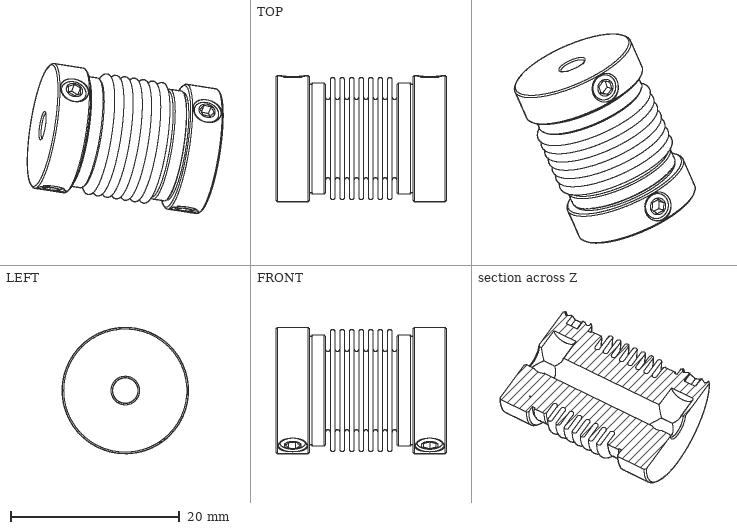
import cadquery as cq
import math

length = 20.24
hub_radius = 7.5
hub_length = 4.0
edge_chamfer = 0.2

neck_radius = 6.45
neck_length = 0.3
collar_radius = 6.6
collar_length = 1.6
collar_chamfer = 0.2

fin_count = 7
fin_thickness = 0.58
fin_radius = 7.25
valley_radius = 4.65
collar_end = hub_length + neck_length + collar_length
bellows_length = length - 2 * collar_end
valley_width = (bellows_length - fin_count * fin_thickness) / (fin_count + 1)
fin_pitch = fin_thickness + valley_width

bore_radius = 1.5
bore_chamfer = 0.2

first_screw_angle = 2
screw_spacing = 120
screw_angles = (first_screw_angle, first_screw_angle - screw_spacing)
screw_hole_radius = 1.5
screw_hole_chamfer = 0.22
screw_hole_rim_height = math.sqrt(hub_radius**2 - (screw_hole_radius + screw_hole_chamfer) ** 2)
screw_top = 7.36
screw_length = 3.0
screw_top_radius = 1.0
screw_chamfer_depth = 0.3
socket_width = 1.5
socket_depth = 1.3
near_socket_turn = -6
far_socket_turn = 30
overshoot = 1.0


def make_hub_and_collar():
    """Hub disc, neck and collar at the X = 0 end."""
    hub = cq.Workplane("YZ").circle(hub_radius).extrude(hub_length).edges().chamfer(edge_chamfer)
    neck = cq.Workplane("YZ", origin=(hub_length, 0, 0)).circle(neck_radius).extrude(neck_length)
    collar = (
        cq.Workplane("YZ", origin=(hub_length + neck_length, 0, 0))
        .circle(collar_radius)
        .extrude(collar_length)
        .faces(">X")
        .edges()
        .chamfer(collar_chamfer)
    )
    return hub.union(neck).union(collar)


def make_bellows():
    """Row of round-tipped fins joined by round-bottomed valleys."""
    valley_round = valley_width / 2
    tip_round = fin_thickness / 2
    valley_top = valley_radius + valley_round
    tip_base = fin_radius - tip_round

    def add_valley(profile, start):
        bottom = (start + valley_round, valley_radius)
        end = (start + valley_width, valley_top)
        return profile.threePointArc(bottom, end)

    profile = cq.Workplane("XY").moveTo(collar_end, 0).lineTo(collar_end, valley_top)
    for index in range(fin_count):
        valley_start = collar_end + index * fin_pitch
        fin_start = valley_start + valley_width
        fin_end = fin_start + fin_thickness
        profile = add_valley(profile, valley_start)
        profile = profile.lineTo(fin_start, tip_base)
        profile = profile.threePointArc((fin_start + tip_round, fin_radius), (fin_end, tip_base))
        profile = profile.lineTo(fin_end, valley_top)
    profile = add_valley(profile, collar_end + fin_count * fin_pitch)
    profile = profile.lineTo(length - collar_end, 0).close()
    return profile.revolve(360, (0, 0, 0), (1, 0, 0))


def make_bore():
    """Through bore with a chamfered mouth at each end."""
    mouth_radius = bore_radius + bore_chamfer
    return (
        cq.Workplane("XY")
        .moveTo(0, 0)
        .lineTo(0, mouth_radius)
        .lineTo(bore_chamfer, bore_radius)
        .lineTo(length - bore_chamfer, bore_radius)
        .lineTo(length, mouth_radius)
        .lineTo(length, 0)
        .close()
        .revolve(360, (0, 0, 0), (1, 0, 0))
    )


def make_screw_hole(x):
    """Radial hole along +Y from the part axis, with a 45 degree countersunk rim."""
    rim_radius = screw_hole_radius + screw_hole_chamfer
    return (
        cq.Workplane("XY")
        .moveTo(x, 0)
        .lineTo(x + screw_hole_radius, 0)
        .lineTo(x + screw_hole_radius, screw_hole_rim_height - screw_hole_chamfer)
        .lineTo(x + rim_radius, screw_hole_rim_height)
        .lineTo(x + rim_radius, hub_radius + overshoot)
        .lineTo(x, hub_radius + overshoot)
        .close()
        .revolve(360, (x, 0, 0), (x, 1, 0))
    )


def make_screw(x, socket_turn):
    """Headless set screw along +Y with a chamfered top and a hexagon socket."""
    screw = (
        cq.Workplane("XY")
        .moveTo(x, screw_top - screw_length)
        .lineTo(x + screw_hole_radius, screw_top - screw_length)
        .lineTo(x + screw_hole_radius, screw_top - screw_chamfer_depth)
        .lineTo(x + screw_top_radius, screw_top)
        .lineTo(x, screw_top)
        .close()
        .revolve(360, (x, 0, 0), (x, 1, 0))
    )
    socket = (
        cq.Workplane("XZ", origin=(x, screw_top, 0))
        .polygon(6, socket_width / math.cos(math.pi / 6))
        .extrude(socket_depth)
        .rotate((x, 0, 0), (x, 1, 0), socket_turn)
    )
    return screw.cut(socket)


def turn(shape, angle):
    return shape.rotate((0, 0, 0), (1, 0, 0), angle)


end_piece = make_hub_and_collar()
far_end_piece = end_piece.mirror("YZ").translate((length, 0, 0))
body = end_piece.union(make_bellows()).union(far_end_piece).cut(make_bore())

screw_rows = (
    (hub_length / 2, near_socket_turn),
    (length - hub_length / 2, far_socket_turn),
)
for screw_x, socket_turn in screw_rows:
    for angle in screw_angles:
        body = body.cut(turn(make_screw_hole(screw_x), angle))
    for angle in screw_angles:
        body = body.union(turn(make_screw(screw_x, socket_turn), angle))

result = body